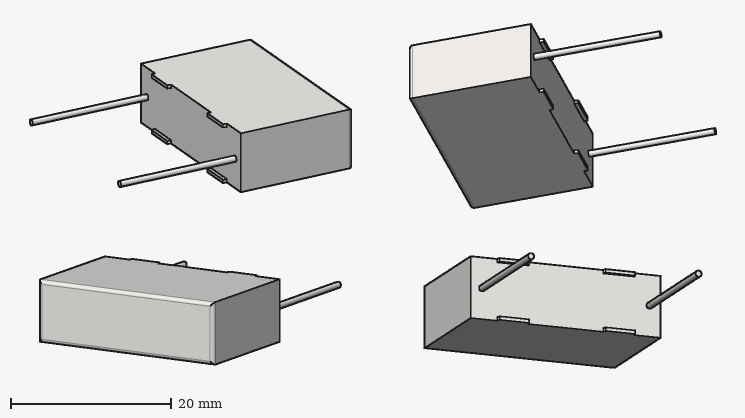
import cadquery as cq

total_length = 32.5
housing_width = 25.5
housing_depth = 16.0
housing_height = 8.0
back_edge_radius = 0.5

tab_root_width = 4.2
tab_tip_width = 3.95
tab_spacing = 14.25
tab_length = 0.52
tab_thickness = 0.45

lead_diameter = 0.8
lead_pitch = 22.5

lead_length = total_length - housing_depth
lead_xs = (-lead_pitch / 2, lead_pitch / 2)


def make_tab(x, side):
    """One tapered stand-off tab, flush with the top (side = 1) or bottom (side = -1) of the housing."""
    inner_z = side * (housing_height / 2 - tab_thickness)
    return (
        cq.Workplane("XY", origin=(x, 0, inner_z))
        .moveTo(-tab_root_width / 2, 0)
        .lineTo(-tab_tip_width / 2, -tab_length)
        .lineTo(tab_tip_width / 2, -tab_length)
        .lineTo(tab_root_width / 2, 0)
        .close()
        .extrude(side * tab_thickness)
    )


def make_housing():
    """Box with rounded back edges and four stand-off tabs on its front face."""
    housing = (
        cq.Workplane("XY")
        .box(housing_width, housing_depth, housing_height, centered=(True, False, True))
        .faces(">Y")
        .edges()
        .fillet(back_edge_radius)
    )
    for x in (-tab_spacing / 2, tab_spacing / 2):
        for side in (-1, 1):
            housing = housing.union(make_tab(x, side))
    return housing


def make_lead(x):
    """Straight round lead standing on the front face."""
    return cq.Workplane("XZ", origin=(x, 0, 0)).circle(lead_diameter / 2).extrude(lead_length)


housing = make_housing()
leads = [make_lead(x) for x in lead_xs]

result = cq.Compound.makeCompound([housing.val(), *[lead.val() for lead in leads]])